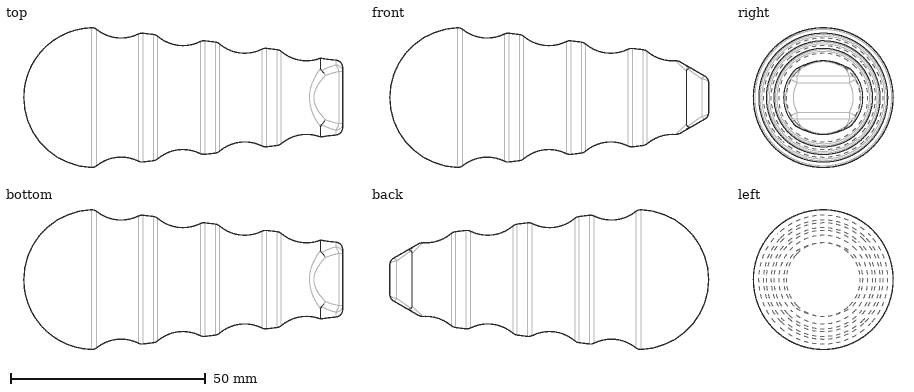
import cadquery as cq
import math

total_length = 82.0
ball_radius = 18.0
taper_angle = math.radians(7.0)

groove_count = 4
groove_pitch = 16.0
groove_radius = 10.0
groove_center_offset = 8.0
first_groove_distance = 3.9

tip_start_x = 76.3
flat_angle = math.radians(30.0)
flat_end_height = 4.95
edge_radius = 2.0
crease_clearance = 0.5

taper_cos = math.cos(taper_angle)
taper_sin = math.sin(taper_angle)
tangent_x = ball_radius * (1 + taper_sin)
tangent_radius = ball_radius * taper_cos


def groove_center(index):
    """Return (x, radius) of the arc centre of one groove."""
    along = first_groove_distance + index * groove_pitch
    x = tangent_x + along * taper_cos + groove_center_offset * taper_sin
    radius = tangent_radius - along * taper_sin + groove_center_offset * taper_cos
    return x, radius


def last_groove_radius_at(x):
    """Return the handle radius inside the last groove at position x."""
    center_x, center_radius = groove_center(groove_count - 1)
    return center_radius - math.sqrt(groove_radius**2 - (x - center_x) ** 2)


def tapered_body():
    """Ball running tangentially into a cone, with a thinner cone at the tip."""
    tip_radius = last_groove_radius_at(tip_start_x)
    end_radius = tip_radius - (total_length - tip_start_x) * math.tan(taper_angle)
    shoulder_radius = tangent_radius - (tip_start_x - tangent_x) * math.tan(taper_angle)
    arc_middle = ball_radius * math.sqrt(0.5)
    profile = (
        cq.Workplane("XY")
        .threePointArc(
            (ball_radius - arc_middle, arc_middle),
            (tangent_x, tangent_radius),
        )
        .lineTo(tip_start_x, shoulder_radius)
        .lineTo(tip_start_x, tip_radius)
        .lineTo(total_length, end_radius)
        .lineTo(total_length, 0)
    )
    return profile.close().revolve(360, (0, 0, 0), (1, 0, 0))


def cut_grooves(body):
    for index in range(groove_count):
        x, radius = groove_center(index)
        ring = cq.Workplane("XY").center(x, radius).circle(groove_radius)
        body = body.cut(ring.revolve(360, (0, -radius, 0), (1, -radius, 0)))
    return body


def round_ridges(body):
    """Round every edge where a groove meets the ball or the tapered side."""
    ridges = cq.selectors.BoxSelector(
        (0, -total_length, -total_length),
        (tip_start_x - crease_clearance, total_length, total_length),
    )
    return body.edges("%CIRCLE").edges(ridges).fillet(edge_radius)


def cut_flats(body):
    """Cut the two inclined flats that thin the tip in Z."""
    run = total_length - tangent_x
    rise = run * math.tan(flat_angle)
    for side in (1, -1):
        wedge = (
            cq.Workplane("XZ")
            .moveTo(total_length, side * flat_end_height)
            .lineTo(total_length, side * (flat_end_height + rise))
            .lineTo(total_length - run, side * (flat_end_height + rise))
            .close()
            .extrude(ball_radius, both=True)
        )
        body = body.cut(wedge)
    return body


def round_tip(body):
    """Round the outlines of the flats and of the end face, leaving the tip's crease sharp."""
    return body.faces("%PLANE").edges().fillet(edge_radius)


handle = cut_grooves(tapered_body())
handle = round_ridges(handle)
handle = cut_flats(handle)
result = round_tip(handle)